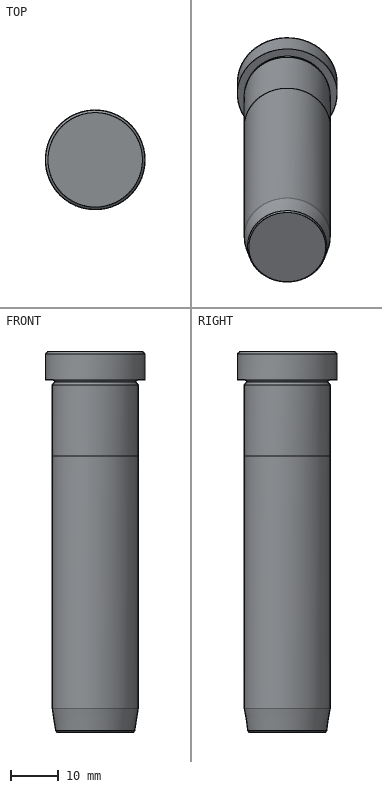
import cadquery as cq

total_length = 80.0
head_radius = 10.5
head_height = 6.0
head_chamfer = 0.6
shank_radius = 9.0
shoulder_depth = 22.0

groove_mouth_radius = 8.8
groove_radius = 8.5
groove_depth = 0.4
groove_height = 1.0

nose_height = 5.0
nose_radius = 8.3
tip_chamfer_width = 0.2
tip_chamfer_height = 0.4

head_bottom = total_length - head_height
split_level = total_length - shoulder_depth
groove_bottom = head_bottom - groove_height


def make_headed_shank():
    """Head, relief groove and upper shank, turned about Z."""
    profile = (
        cq.Workplane("XZ")
        .moveTo(0, split_level)
        .lineTo(shank_radius, split_level)
        .lineTo(shank_radius, groove_bottom)
        .lineTo(groove_radius, head_bottom - groove_depth)
        .lineTo(groove_mouth_radius, head_bottom)
        .lineTo(head_radius, head_bottom)
        .lineTo(head_radius, total_length - head_chamfer)
        .lineTo(head_radius - head_chamfer, total_length)
        .lineTo(0, total_length)
        .close()
    )
    return profile.revolve(360, (0, 0), (0, 1))


def make_guide_shank():
    """Lower shank with a tapered nose, turned about Z."""
    profile = (
        cq.Workplane("XZ")
        .lineTo(nose_radius - tip_chamfer_width, 0)
        .lineTo(nose_radius, tip_chamfer_height)
        .lineTo(shank_radius, nose_height)
        .lineTo(shank_radius, split_level)
        .lineTo(0, split_level)
        .close()
    )
    return profile.revolve(360, (0, 0), (0, 1))


headed_shank = make_headed_shank()
guide_shank = make_guide_shank()

result = cq.Compound.makeCompound([headed_shank.val(), guide_shank.val()])